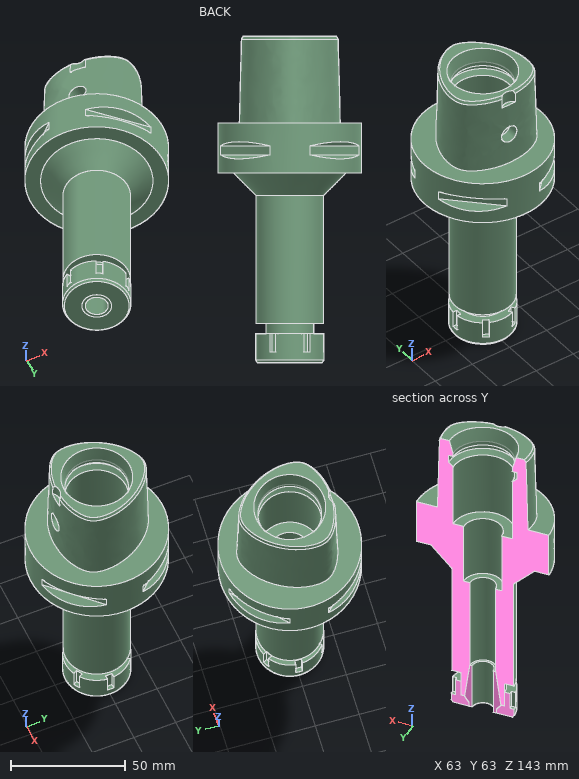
import cadquery as cq
import math


total_length = 143.0

shank_length = 38.0
shank_base_diameter = 44.3
shank_taper = 1 / 20
lobe_eccentricity = 1.65
shank_chamfer_height = 1.4
shank_chamfer_inset = 0.8
outline_points = 24

flange_diameter = 63.0
flange_height = 22.0
cone_height = 9.8
cone_top_diameter = 49.2
shaft_diameter = 29.6
nose_diameter = 21.0
nose_shoulder_z = 17.2
nose_end_z = 5.0

clamp_bore_diameter = 28.0
clamp_bore_depth = 45.0
mouth_diameter = 31.5
mouth_depth = 6.4
groove_diameter = 32.2
groove_start_depth = 8.4
groove_end_depth = 11.8
drill_diameter = 18.0
drill_depth = 75.0

key_radius = 4.9
key_depth = 6.1
key_inner_distance = 17.8
side_hole_diameter = 8.2
side_hole_depth_from_end = 22.3
side_hole_floor = 14.6

gripper_count = 4
gripper_floor_distance = 27.6
gripper_floor_height = 3.9
gripper_mouth_height = 7.5
gripper_depth_below_flange = 12.0

nut_diameter = 30.0
nut_height = 12.8
nut_chamfer_height = 1.2
nut_chamfer_inset = 0.8
nut_slot_count = 6
nut_slot_width = 3.0
nut_slot_depth = 2.0
nut_slot_bottom_z = 4.7

collet_bore = 10.0
collet_large_diameter = 17.0
collet_small_diameter = 12.0
collet_front_diameter = 13.0
collet_front_height = 2.5
collet_half_angle = 8.0

flange_top_z = total_length - shank_length
flange_bottom_z = flange_top_z - flange_height
cone_bottom_z = flange_bottom_z - cone_height
shaft_radius = shaft_diameter / 2
flange_radius = flange_diameter / 2
cone_top_radius = cone_top_diameter / 2
nut_radius = nut_diameter / 2
collet_drop = (collet_large_diameter - collet_small_diameter) / 2
collet_top_z = nose_end_z + collet_drop / math.tan(math.radians(collet_half_angle))


def revolve(profile):
    """Solid of revolution about Z from (radius, z) points."""
    return cq.Workplane("XZ").polyline(profile).close().revolve(360, (0, 0), (0, 1))


def polygon_wire(width, z):
    """Three-lobed outline of constant width, with one lobe towards +Y."""

    def outline_point(t):
        angle = 2 * math.pi * t
        radial = width / 2 + lobe_eccentricity * math.cos(3 * angle)
        tangential = -3 * lobe_eccentricity * math.sin(3 * angle)
        along_lobe = radial * math.cos(angle) - tangential * math.sin(angle)
        across_lobe = radial * math.sin(angle) + tangential * math.cos(angle)
        return cq.Vector(-across_lobe, along_lobe, z)

    points = [outline_point(0.5 + i / outline_points) for i in range(outline_points)]
    return cq.Wire.assembleEdges([cq.Edge.makeSpline(points, periodic=True)])


def make_shank():
    chamfer_z = total_length - shank_chamfer_height
    chamfer_width = shank_base_diameter - shank_taper * (chamfer_z - flange_top_z)
    end_width = chamfer_width - 2 * shank_chamfer_inset
    base = polygon_wire(shank_base_diameter, flange_top_z)
    shoulder = polygon_wire(chamfer_width, chamfer_z)
    end = polygon_wire(end_width, total_length)
    taper = cq.Solid.makeLoft([base, shoulder], True)
    chamfer = cq.Solid.makeLoft([shoulder, end], True)
    return cq.Workplane(taper).union(cq.Workplane(chamfer))


def make_holder_body():
    nose_radius = nose_diameter / 2
    return revolve([
        (0, flange_top_z),
        (flange_radius, flange_top_z),
        (flange_radius, flange_bottom_z),
        (cone_top_radius, flange_bottom_z),
        (shaft_radius, cone_bottom_z),
        (shaft_radius, nose_shoulder_z),
        (nose_radius, nose_shoulder_z),
        (nose_radius, nose_end_z),
        (0, nose_end_z),
    ])


def make_holder_bore():
    """Shank bore with its undercut groove, drilled passage and collet seat."""
    clamp_radius = clamp_bore_diameter / 2
    groove_radius = groove_diameter / 2
    groove_bottom_z = total_length - groove_end_depth
    groove_top_z = total_length - groove_start_depth
    clamp_floor_z = total_length - clamp_bore_depth
    drill_floor_z = total_length - drill_depth
    return revolve([
        (0, total_length),
        (mouth_diameter / 2, total_length),
        (clamp_radius, total_length - mouth_depth),
        (clamp_radius, groove_top_z),
        (groove_radius, groove_top_z),
        (groove_radius, groove_bottom_z),
        (clamp_radius, groove_bottom_z - (groove_radius - clamp_radius)),
        (clamp_radius, clamp_floor_z),
        (drill_diameter / 2, clamp_floor_z),
        (drill_diameter / 2, drill_floor_z),
        (collet_small_diameter / 2, drill_floor_z),
        (collet_small_diameter / 2, collet_top_z),
        (collet_large_diameter / 2, nose_end_z),
        (0, nose_end_z),
    ])


def make_keyway():
    """Rounded keyway open at the shank end, on the -Y side."""
    return (
        cq.Workplane("XY", origin=(0, -(key_inner_distance + key_radius), total_length - key_depth))
        .circle(key_radius)
        .extrude(key_depth)
    )


def make_side_hole():
    """Blind flat-floored hole in the -Y side of the shank."""
    return (
        cq.Workplane("XZ", origin=(0, -side_hole_floor, total_length - side_hole_depth_from_end))
        .circle(side_hole_diameter / 2)
        .extrude(shank_base_diameter / 2 - side_hole_floor)
    )


def make_gripper_groove(angle):
    """Straight trapezoidal groove across the flange, facing the given angle."""
    half_floor = gripper_floor_height / 2
    half_mouth = gripper_mouth_height / 2
    return (
        cq.Workplane("XZ", origin=(0, 0, flange_top_z - gripper_depth_below_flange))
        .polyline([
            (gripper_floor_distance, -half_floor),
            (flange_radius, -half_mouth),
            (flange_radius, half_mouth),
            (gripper_floor_distance, half_floor),
        ])
        .close()
        .extrude(flange_radius, both=True)
        .rotate((0, 0, 0), (0, 0, 1), angle)
    )


def make_holder():
    holder = make_holder_body().union(make_shank())
    holder = holder.cut(make_holder_bore()).cut(make_keyway()).cut(make_side_hole())
    gripper_pitch = 360 / gripper_count
    for i in range(gripper_count):
        holder = holder.cut(make_gripper_groove((i + 0.5) * gripper_pitch))
    return holder


def make_nut_slot(angle):
    """Spanner slot open at the top of the nut."""
    return (
        cq.Workplane("XY", origin=(0, 0, nut_slot_bottom_z))
        .center(nut_radius, 0)
        .rect(2 * nut_slot_depth, nut_slot_width)
        .extrude(nut_height - nut_slot_bottom_z)
        .rotate((0, 0, 0), (0, 0, 1), angle)
    )


def make_nut():
    front_radius = collet_front_diameter / 2
    thread_radius = nose_diameter / 2
    nut = revolve([
        (front_radius, 0),
        (nut_radius - nut_chamfer_inset, 0),
        (nut_radius, nut_chamfer_height),
        (nut_radius, nut_height),
        (thread_radius, nut_height),
        (thread_radius, nose_end_z),
        (collet_large_diameter / 2, nose_end_z),
        (front_radius, collet_front_height),
    ])
    for i in range(nut_slot_count):
        nut = nut.cut(make_nut_slot(i * 360 / nut_slot_count))
    return nut


def make_collet():
    bore_radius = collet_bore / 2
    return revolve([
        (bore_radius, 0),
        (collet_front_diameter / 2, 0),
        (collet_front_diameter / 2, collet_front_height),
        (collet_large_diameter / 2, nose_end_z),
        (collet_small_diameter / 2, collet_top_z),
        (bore_radius, collet_top_z),
    ])


holder = make_holder()
nut = make_nut()
collet = make_collet()

result = cq.Compound.makeCompound([holder.val(), nut.val(), collet.val()])